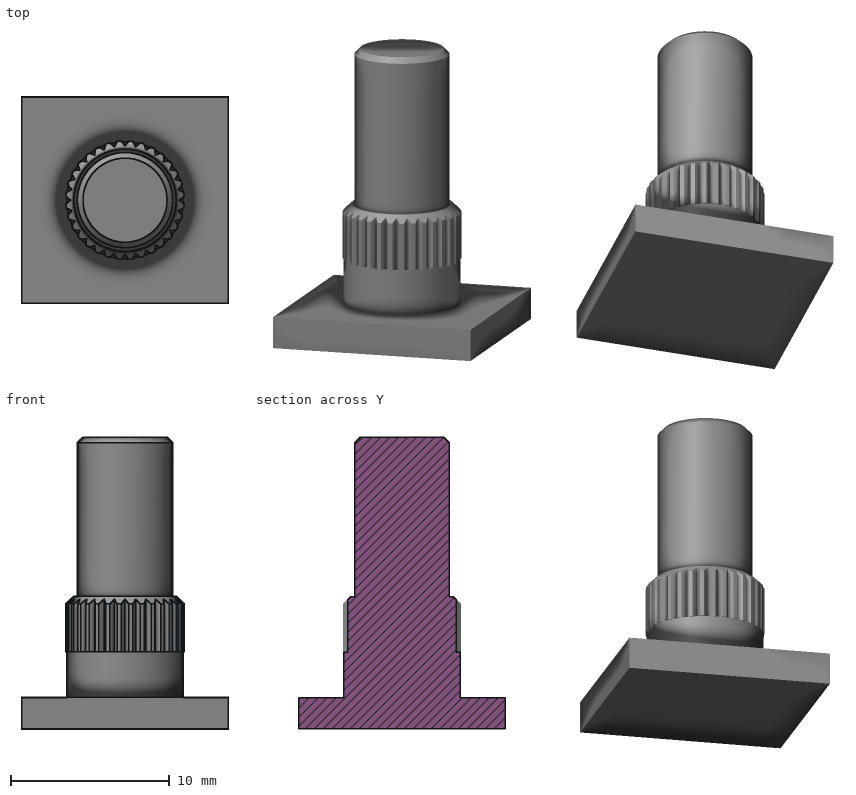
import cadquery as cq

plate_side = 13.0
plate_thickness = 2.0

knurl_bottom = 4.88
knurl_top = 8.37
total_height = 18.4

collar_radius = 3.68
knurl_radius = 3.74
knurl_top_radius = 3.22
knurl_chamfer_height = 0.48
shaft_radius = 3.0
shaft_chamfer = 0.35

groove_count = 32
groove_depth = 0.31
groove_width = 0.48


def cylinder(radius, bottom, top):
    return cq.Workplane("XY").workplane(offset=bottom).circle(radius).extrude(top - bottom)


def knurled_ring():
    """Ring with a bevelled upper rim, cut by straight V grooves."""
    profile = [
        (0, knurl_bottom),
        (knurl_radius, knurl_bottom),
        (knurl_radius, knurl_top - knurl_chamfer_height),
        (knurl_top_radius, knurl_top),
        (0, knurl_top),
    ]
    ring = cq.Workplane("XZ").polyline(profile).close().revolve(360, (0, 0, 0), (0, 1, 0))

    root_radius = knurl_radius - groove_depth
    cutter_depth = 2 * groove_depth
    cutter_half_width = groove_width / 2 * cutter_depth / groove_depth
    cutter_radius = root_radius + cutter_depth
    v_profile = [
        (root_radius, 0),
        (cutter_radius, cutter_half_width),
        (cutter_radius, -cutter_half_width),
    ]
    cutter = (
        cq.Workplane("XY")
        .workplane(offset=knurl_bottom)
        .polyline(v_profile)
        .close()
        .extrude(knurl_top - knurl_bottom)
    )
    for index in range(groove_count):
        angle = index * 360 / groove_count
        ring = ring.cut(cutter.rotate((0, 0, 0), (0, 0, 1), angle))
    return ring


plate = cq.Workplane("XY").box(plate_side, plate_side, plate_thickness, centered=(True, True, False))
collar = cylinder(collar_radius, plate_thickness, knurl_bottom)
shaft = cylinder(shaft_radius, knurl_top, total_height).faces(">Z").chamfer(shaft_chamfer)

result = plate.union(collar).union(knurled_ring()).union(shaft)